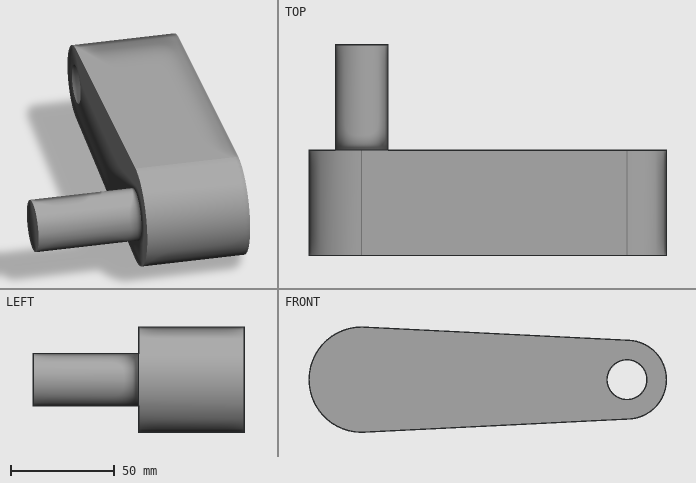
import cadquery as cq

big_end_radius = 25.4
small_end_radius = 19.05
center_distance = 127.71
arm_thickness = 50.8
pin_diameter = 25.4
pin_length = 50.8
hole_diameter = 19.05


def make_arm():
    """Tapered arm: two semicircular ends joined by straight flanks."""
    return (
        cq.Workplane("XZ")
        .moveTo(0, big_end_radius)
        .lineTo(center_distance, small_end_radius)
        .threePointArc(
            (center_distance + small_end_radius, 0),
            (center_distance, -small_end_radius),
        )
        .lineTo(0, -big_end_radius)
        .threePointArc((-big_end_radius, 0), (0, big_end_radius))
        .close()
        .extrude(-arm_thickness)
    )


def make_pin():
    """Pin on the back face, concentric with the big end."""
    return (
        cq.Workplane("XZ", origin=(0, arm_thickness, 0))
        .circle(pin_diameter / 2)
        .extrude(-pin_length)
    )


def make_hole():
    """Cutter for the through hole, concentric with the small end."""
    return (
        cq.Workplane("XZ")
        .center(center_distance, 0)
        .circle(hole_diameter / 2)
        .extrude(-arm_thickness)
    )


result = make_arm().union(make_pin()).cut(make_hole())